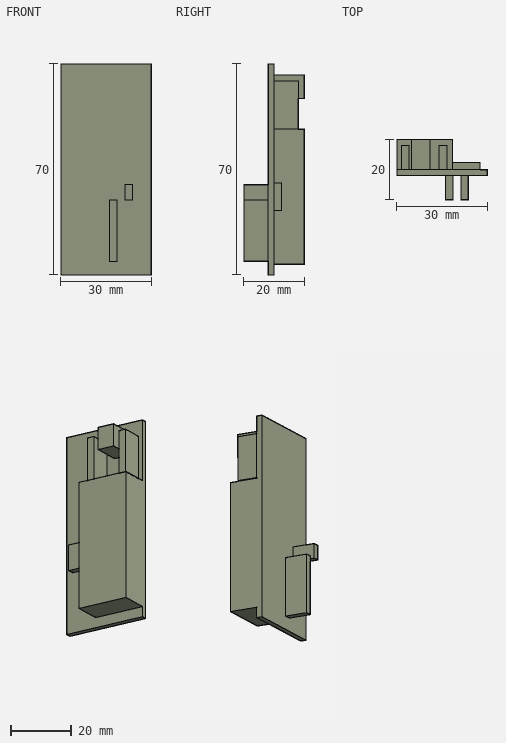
import cadquery as cq

board_width = 30.0
board_thickness = 2.0
board_height = 70.0

pin_pitch = 2.54
header_reach = 8.0

module_width = 18.5
module_depth = 10.0
module_bottom = 3.6
module_top = 48.4

terminal_left = 4.9
terminal_width = 6.1
terminal_bottom = 58.5
terminal_top = board_height - module_bottom

low_part_right = 27.6
low_part_depth = 2.4
low_part_height = low_part_right - module_width
low_part_bottom = (module_bottom + module_top - low_part_height) / 2

back_header_top = 64.4
left_header_x = 1.5
left_header_pins = 6
right_header_x = 14.0

long_header_x = 16.1
long_header_bottom = 4.6
long_header_pins = 8
short_header_x = long_header_x + 2 * pin_pitch
short_header_pins = 2


def block(left, right, near, far, bottom, top):
    """Box given by its limits along X, Y and Z."""
    size = (right - left, far - near, top - bottom)
    return cq.Workplane("XY").box(*size, centered=False).translate((left, near, bottom))


def back_block(left, right, depth, bottom, top):
    """Box standing on the back (+Y) face of the board."""
    return block(left, right, board_thickness, board_thickness + depth, bottom, top)


def back_header(left, bottom, top):
    """One-row header strip on the back face."""
    return back_block(left, left + pin_pitch, header_reach, bottom, top)


def front_header(left, bottom, pins):
    """One-row header strip on the front (-Y) face."""
    return block(left, left + pin_pitch, -header_reach, 0, bottom, bottom + pins * pin_pitch)


board = block(0, board_width, 0, board_thickness, 0, board_height)

module = back_block(0, module_width, module_depth, module_bottom, module_top)
terminal = back_block(
    terminal_left, terminal_left + terminal_width, module_depth, terminal_bottom, terminal_top
)
low_part = back_block(
    module_width,
    low_part_right,
    low_part_depth,
    low_part_bottom,
    low_part_bottom + low_part_height,
)

left_header = back_header(
    left_header_x, back_header_top - left_header_pins * pin_pitch, back_header_top
)
right_header = back_header(right_header_x, module_top, back_header_top)

long_header = front_header(long_header_x, long_header_bottom, long_header_pins)
short_header_bottom = long_header_bottom + long_header_pins * pin_pitch
short_header = front_header(short_header_x, short_header_bottom, short_header_pins)

result = board
for component in (
    module,
    terminal,
    low_part,
    left_header,
    right_header,
    long_header,
    short_header,
):
    result = result.union(component)